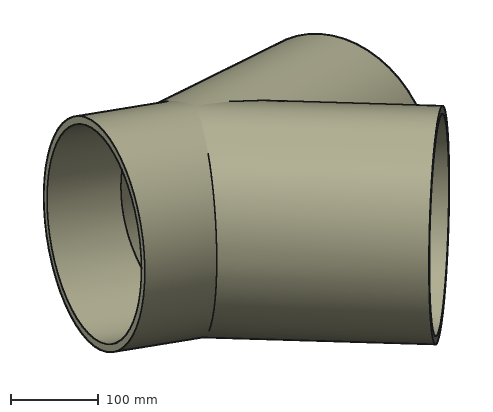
import cadquery as cq
import math

overall_width = 516.0
overall_depth = 437.5
outer_diameter = 273.0
bore_diameter = 254.5
branch_angle = 30.0

angle = math.radians(branch_angle)
outer_radius = outer_diameter / 2
branch_length = (overall_width / 2 - outer_radius * math.cos(angle)) / math.sin(angle)
branch_reach = branch_length * math.cos(angle) + outer_radius * math.sin(angle)
trunk_length = overall_depth - branch_reach

trunk_direction = cq.Vector(0, -1, 0)
right_direction = cq.Vector(math.sin(angle), math.cos(angle), 0)
left_direction = cq.Vector(-math.sin(angle), math.cos(angle), 0)


def leg(diameter, length, direction):
    """Solid cylinder running from the junction along a pipe axis."""
    cylinder = cq.Solid.makeCylinder(diameter / 2, length, cq.Vector(0, 0, 0), direction)
    return cq.Workplane(obj=cylinder)


def wye(diameter):
    """Trunk and two branches of equal diameter, joined into one solid."""
    body = leg(diameter, trunk_length, trunk_direction)
    for direction in (left_direction, right_direction):
        body = body.union(leg(diameter, branch_length, direction))
    return body


result = wye(outer_diameter).cut(wye(bore_diameter))